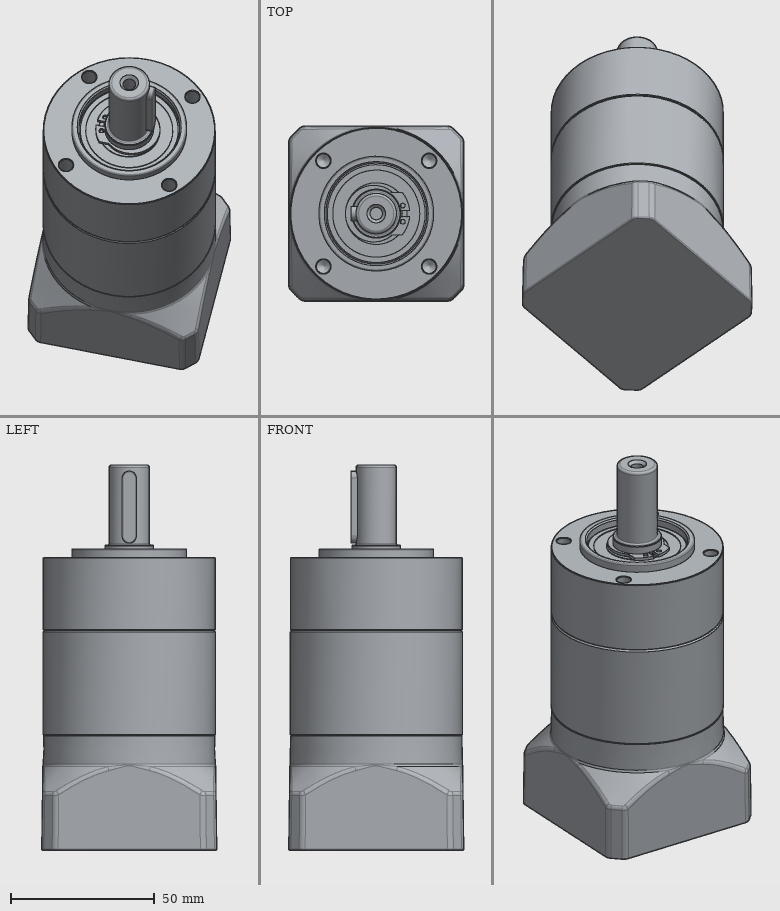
import cadquery as cq
import math

TOTAL_HEIGHT = 134.0
ADAPTER_TOP = 40.0
RING_TOP = 76.5
FLANGE_TOP = 101.8
PILOT_TOP = 104.8

ADAPTER_WIDTH = 61.0
ADAPTER_CORNER_CUT = 4.5
ADAPTER_CORNER_FILLET = 3.0
ADAPTER_DRAFT = 0.8
NECK_DIAMETER = 59.6
NECK_RADIUS = NECK_DIAMETER / 2
SHOULDER_RADIUS = 30.0
SHOULDER_TOP = 29.5
SHOULDER_CONE_ANGLE = 45.0
SHOULDER_BLEND = 1.2
SHOULDER_EDGE_FILLET = 2.0
ADAPTER_BOTTOM_FILLET = 0.4

RING_RADIUS = 30.0
RING_TOP_CHAMFER = 0.7
HOUSING_DIAMETER = 59.9
HOUSING_RADIUS = HOUSING_DIAMETER / 2
RIM_CHAMFER = 0.3
PILOT_RADIUS = 20.0
PILOT_FILLET = 0.4
RECESS_CHAMFER = 0.5
BOLT_CIRCLE_RADIUS = 26.0
BOLT_HOLE_RADIUS = 2.4
BOLT_HOLE_DEPTH = 12.0
BOLT_HOLE_CHAMFER = 0.3
BOLT_COUNT = 4
FIRST_BOLT_ANGLE = 45.0
DRILL_POINT_ANGLE = 118.0

BEARING_RADIUS = 17.5
BEARING_BORE = 17.0
BEARING_BORE_RADIUS = BEARING_BORE / 2
BEARING_WIDTH = 10.0
BEARING_TOP = 102.2
BEARING_BOTTOM = BEARING_TOP - BEARING_WIDTH
OUTER_RACE_INNER_RADIUS = 15.1
INNER_RACE_RADIUS = 10.7
SEAL_INSET = 0.3
RACE_CHAMFER = 0.5

SHAFT_DIAMETER = 14.1
SHAFT_RADIUS = SHAFT_DIAMETER / 2
SHAFT_END_FILLET = 1.0
SHAFT_ROOT_FILLET = 0.5
COLLAR_TOP = 106.1
COLLAR_CHAMFER = 0.3
TAP_HOLE_RADIUS = 2.1
TAP_HOLE_DEPTH = 12.0
COUNTERSINK_RADIUS = 3.2

KEY_WIDTH = 5.0
KEY_LENGTH = 25.0
KEY_BOTTOM = 106.8
KEY_SEAT_X = -4.0
KEY_OUTER_X = -8.8
KEY_FILLET = 0.3

CLIP_THICKNESS = 1.0
CLIP_INNER_RADIUS = 8.0
CLIP_DIAMETER = 19.7
CLIP_OUTER_RADIUS = CLIP_DIAMETER / 2
CLIP_OFFSET = 0.87
CLIP_LUG_RADIUS = 11.7
CLIP_LUG_WIDTH = 14.7
CLIP_GAP = 2.0
CLIP_HOLE_RADIUS = 0.8
CLIP_HOLE_X = 9.2
CLIP_HOLE_Y = 2.8


def cylinder(radius, bottom, top):
    """Solid cylinder on the gearbox axis."""
    return cq.Workplane("XY").workplane(offset=bottom).circle(radius).extrude(top - bottom)


def tube(outer_radius, inner_radius, bottom, top):
    """Plain ring on the gearbox axis."""
    return (
        cq.Workplane("XY").workplane(offset=bottom)
        .circle(outer_radius).circle(inner_radius).extrude(top - bottom)
    )


def make_adapter():
    """Square drafted block whose upper corners slope up to a round neck."""
    half = ADAPTER_WIDTH / 2
    flat_half = half - ADAPTER_CORNER_CUT
    outline = [
        (half, -flat_half), (half, flat_half),
        (flat_half, half), (-flat_half, half),
        (-half, flat_half), (-half, -flat_half),
        (-flat_half, -half), (flat_half, -half),
    ]
    block = (
        cq.Workplane("XY").polyline(outline).close()
        .extrude(ADAPTER_TOP, taper=ADAPTER_DRAFT)
    )
    block = block.edges("not #Z").fillet(ADAPTER_CORNER_FILLET)

    cone_angle = math.radians(SHOULDER_CONE_ANGLE)
    half_angle = cone_angle / 2
    tangent_leg = SHOULDER_BLEND * math.tan(half_angle)
    blend_top = SHOULDER_TOP + tangent_leg
    cone_radius = SHOULDER_RADIUS + SHOULDER_TOP * math.tan(cone_angle)
    blend_middle = (
        SHOULDER_RADIUS + SHOULDER_BLEND * (1 - math.cos(half_angle)),
        blend_top - SHOULDER_BLEND * math.sin(half_angle),
    )
    blend_end = (
        SHOULDER_RADIUS + tangent_leg * math.sin(cone_angle),
        SHOULDER_TOP - tangent_leg * math.cos(cone_angle),
    )
    envelope = (
        cq.Workplane("XZ")
        .moveTo(0, 0)
        .lineTo(0, ADAPTER_TOP)
        .lineTo(NECK_RADIUS - RIM_CHAMFER, ADAPTER_TOP)
        .lineTo(NECK_RADIUS, ADAPTER_TOP - RIM_CHAMFER)
        .lineTo(SHOULDER_RADIUS, blend_top)
        .threePointArc(blend_middle, blend_end)
        .lineTo(cone_radius, 0)
        .close()
        .revolve(360, (0, 0, 0), (0, 1, 0))
    )
    adapter = cq.Workplane(block.intersect(envelope).val().Solids()[0])

    adapter = adapter.edges("%BSPLINE or %HYPERBOLA").fillet(SHOULDER_EDGE_FILLET)
    return adapter.faces("<Z").edges().fillet(ADAPTER_BOTTOM_FILLET)


def make_ring_gear():
    """Plain cylindrical ring gear section with chamfered rims."""
    ring = cylinder(RING_RADIUS, ADAPTER_TOP, RING_TOP)
    ring = ring.faces(">Z").chamfer(RING_TOP_CHAMFER)
    return ring.faces("<Z").chamfer(RIM_CHAMFER)


def cut_bolt_holes(housing):
    """Blind holes with a drilled point, on the diagonals of the flange."""
    point_depth = BOLT_HOLE_RADIUS / math.tan(math.radians(DRILL_POINT_ANGLE / 2))
    drill = (
        cq.Workplane("XZ")
        .polyline([
            (0, FLANGE_TOP),
            (BOLT_HOLE_RADIUS + BOLT_HOLE_CHAMFER, FLANGE_TOP),
            (BOLT_HOLE_RADIUS, FLANGE_TOP - BOLT_HOLE_CHAMFER),
            (BOLT_HOLE_RADIUS, FLANGE_TOP - BOLT_HOLE_DEPTH),
            (0, FLANGE_TOP - BOLT_HOLE_DEPTH - point_depth),
        ])
        .close()
        .revolve(360, (0, 0, 0), (0, 1, 0))
        .translate((BOLT_CIRCLE_RADIUS, 0, 0))
    )
    for index in range(BOLT_COUNT):
        angle = FIRST_BOLT_ANGLE + index * 360 / BOLT_COUNT
        housing = housing.cut(drill.rotate((0, 0, 0), (0, 0, 1), angle))
    return housing


def make_housing():
    """Output housing, solid below the bearing, with a pilot boss that holds the bearing."""
    housing = cylinder(HOUSING_RADIUS, RING_TOP, FLANGE_TOP)
    housing = housing.edges().chamfer(RIM_CHAMFER)
    pilot = cylinder(PILOT_RADIUS, FLANGE_TOP, PILOT_TOP).faces(">Z").fillet(PILOT_FILLET)
    housing = housing.union(pilot)
    housing = housing.cut(cylinder(BEARING_RADIUS, BEARING_BOTTOM, PILOT_TOP))
    housing = housing.faces(">Z").edges(cq.selectors.RadiusNthSelector(0))
    housing = housing.chamfer(RECESS_CHAMFER)
    return cut_bolt_holes(housing)


def make_key():
    """Round-ended key lying on the -X side of the shaft."""
    key_height = KEY_SEAT_X - KEY_OUTER_X
    key = (
        cq.Workplane("YZ").workplane(offset=KEY_OUTER_X)
        .center(0, KEY_BOTTOM + KEY_LENGTH / 2)
        .slot2D(KEY_LENGTH, KEY_WIDTH, 90)
        .extrude(key_height)
    )
    return key.faces("<X").edges().fillet(KEY_FILLET)


def make_outer_race():
    """Outer bearing ring with both outside corners chamfered."""
    race = tube(BEARING_RADIUS, OUTER_RACE_INNER_RADIUS, BEARING_BOTTOM, BEARING_TOP)
    return race.edges(cq.selectors.RadiusNthSelector(-1)).chamfer(RACE_CHAMFER)


def make_inner_race():
    """Inner bearing ring with both bore corners chamfered."""
    race = tube(INNER_RACE_RADIUS, BEARING_BORE_RADIUS, BEARING_BOTTOM, BEARING_TOP)
    return race.edges(cq.selectors.RadiusNthSelector(0)).chamfer(RACE_CHAMFER)


def make_clip():
    """Eccentric retaining ring, open at +X between two drilled lugs."""
    base = cq.Workplane("XY").workplane(offset=BEARING_TOP)
    band = base.center(-CLIP_OFFSET, 0).circle(CLIP_OUTER_RADIUS).extrude(CLIP_THICKNESS)
    lugs = base.circle(CLIP_LUG_RADIUS).extrude(CLIP_THICKNESS)
    lug_zone = (
        base.center(CLIP_LUG_RADIUS / 2, 0)
        .rect(CLIP_LUG_RADIUS, CLIP_LUG_WIDTH).extrude(CLIP_THICKNESS)
    )
    clip = band.union(lugs.intersect(lug_zone))
    clip = clip.cut(base.circle(CLIP_INNER_RADIUS).extrude(CLIP_THICKNESS))
    gap = base.center(CLIP_LUG_RADIUS, 0).rect(CLIP_LUG_RADIUS, CLIP_GAP).extrude(CLIP_THICKNESS)
    holes = (
        base.pushPoints([(CLIP_HOLE_X, -CLIP_HOLE_Y), (CLIP_HOLE_X, CLIP_HOLE_Y)])
        .circle(CLIP_HOLE_RADIUS).extrude(CLIP_THICKNESS)
    )
    return clip.cut(gap).cut(holes)


def make_shaft(key):
    """Stepped shaft with a keyway, a retaining ring groove and a tapped end."""
    clip_top = BEARING_TOP + CLIP_THICKNESS
    shaft = (
        cq.Workplane("XZ")
        .polyline([
            (0, BEARING_BOTTOM),
            (BEARING_BORE_RADIUS, BEARING_BOTTOM),
            (BEARING_BORE_RADIUS, BEARING_TOP),
            (CLIP_INNER_RADIUS, BEARING_TOP),
            (CLIP_INNER_RADIUS, clip_top),
            (BEARING_BORE_RADIUS, clip_top),
            (BEARING_BORE_RADIUS, COLLAR_TOP - COLLAR_CHAMFER),
            (BEARING_BORE_RADIUS - COLLAR_CHAMFER, COLLAR_TOP),
            (SHAFT_RADIUS, COLLAR_TOP),
            (SHAFT_RADIUS, TOTAL_HEIGHT),
            (COUNTERSINK_RADIUS, TOTAL_HEIGHT),
            (TAP_HOLE_RADIUS, TOTAL_HEIGHT - (COUNTERSINK_RADIUS - TAP_HOLE_RADIUS)),
            (TAP_HOLE_RADIUS, TOTAL_HEIGHT - TAP_HOLE_DEPTH),
            (0, TOTAL_HEIGHT - TAP_HOLE_DEPTH),
        ])
        .close()
        .revolve(360, (0, 0, 0), (0, 1, 0))
    )
    shaft = shaft.faces(">Z").edges(cq.selectors.RadiusNthSelector(-1)).fillet(SHAFT_END_FILLET)

    root = cq.selectors.BoxSelector(
        (-SHAFT_RADIUS, -SHAFT_RADIUS, COLLAR_TOP - SHAFT_ROOT_FILLET),
        (SHAFT_RADIUS, SHAFT_RADIUS, COLLAR_TOP + SHAFT_ROOT_FILLET),
    )
    shaft = shaft.edges(root).edges("%CIRCLE").edges(cq.selectors.RadiusNthSelector(0))
    return shaft.fillet(SHAFT_ROOT_FILLET).cut(key)


adapter = make_adapter()
ring_gear = make_ring_gear()
housing = make_housing()
outer_race = make_outer_race()
inner_race = make_inner_race()
seal = tube(OUTER_RACE_INNER_RADIUS, INNER_RACE_RADIUS, BEARING_BOTTOM, BEARING_TOP - SEAL_INSET)
clip = make_clip()
key = make_key()
shaft = make_shaft(key)

result = cq.Compound.makeCompound([
    adapter.val(),
    ring_gear.val(),
    housing.val(),
    outer_race.val(),
    seal.val(),
    inner_race.val(),
    clip.val(),
    shaft.val(),
    key.val(),
])